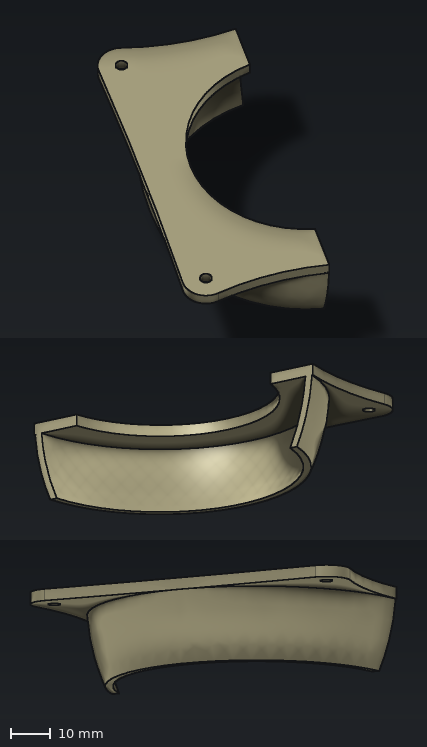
import cadquery as cq
import math

overall_length = 88.17
overall_depth = 37.0
overall_height = 21.02
plate_thickness = 3.0
opening_radius = 30.0
cut_y = -6.0

corner_radius = 6.0
screw_hole_diameter = 3.0
side_arc_radius = 72.0
side_tangent_angle = 15.0
front_arc_radius = 1200.0

skirt_top_radius = 42.45
skirt_middle_radius = 41.0
skirt_bottom_radius = 37.9
skirt_wall = 2.0

front_y = cut_y - overall_depth
corner_x = overall_length / 2 - corner_radius
corner_y = front_y + corner_radius
skirt_top_z = -plate_thickness
skirt_bottom_z = -overall_height
skirt_middle_z = (skirt_top_z + skirt_bottom_z) / 2


def point_on_circle(center, radius, angle):
    return (center[0] + radius * math.cos(angle), center[1] + radius * math.sin(angle))


def mirrored(point):
    return (-point[0], point[1])


def make_plate():
    """Flat plate with hollow edges, two rounded front corners, screw holes and the round opening."""
    corner = (corner_x, corner_y)

    joint_angle = math.radians(side_tangent_angle)
    side_center = point_on_circle(corner, corner_radius + side_arc_radius, joint_angle)
    side_joint = point_on_circle(corner, corner_radius, joint_angle)
    end_angle = math.pi - math.asin((cut_y - side_center[1]) / side_arc_radius)
    side_end = point_on_circle(side_center, side_arc_radius, end_angle)
    side_middle = point_on_circle(side_center, side_arc_radius, (end_angle + math.pi + joint_angle) / 2)

    front_angle = -math.acos(-corner_x / (corner_radius + front_arc_radius))
    front_joint = point_on_circle(corner, corner_radius, front_angle)
    front_center_y = corner_y + (corner_radius + front_arc_radius) * math.sin(front_angle)
    front_middle = (0, front_center_y + front_arc_radius)
    corner_middle = point_on_circle(corner, corner_radius, (joint_angle + front_angle) / 2)

    outline = (
        cq.Workplane("XY")
        .moveTo(*side_end)
        .threePointArc(side_middle, side_joint)
        .threePointArc(corner_middle, front_joint)
        .threePointArc(front_middle, mirrored(front_joint))
        .threePointArc(mirrored(corner_middle), mirrored(side_joint))
        .threePointArc(mirrored(side_middle), mirrored(side_end))
        .close()
    )
    plate = outline.extrude(-plate_thickness)
    opening = cq.Workplane("XY").circle(opening_radius).extrude(-plate_thickness)
    screw_holes = (
        cq.Workplane("XY")
        .pushPoints([corner, mirrored(corner)])
        .circle(screw_hole_diameter / 2)
        .extrude(-plate_thickness)
    )
    return plate.cut(opening).cut(screw_holes)


def make_skirt():
    """Curved wall under the plate, narrowing downward and open at the bottom, in front of the cut plane."""
    ring = (
        cq.Workplane("XZ")
        .moveTo(skirt_top_radius, skirt_top_z)
        .threePointArc((skirt_middle_radius, skirt_middle_z), (skirt_bottom_radius, skirt_bottom_z))
        .lineTo(skirt_bottom_radius - skirt_wall, skirt_bottom_z)
        .threePointArc(
            (skirt_middle_radius - skirt_wall, skirt_middle_z),
            (skirt_top_radius - skirt_wall, skirt_top_z),
        )
        .close()
        .revolve(360, (0, 0, 0), (0, 1, 0))
    )
    kept_region = (
        cq.Workplane("XY", origin=(0, front_y, skirt_bottom_z))
        .box(overall_length, overall_depth, overall_height, centered=(True, False, False))
    )
    return ring.intersect(kept_region)


result = make_plate().union(make_skirt())